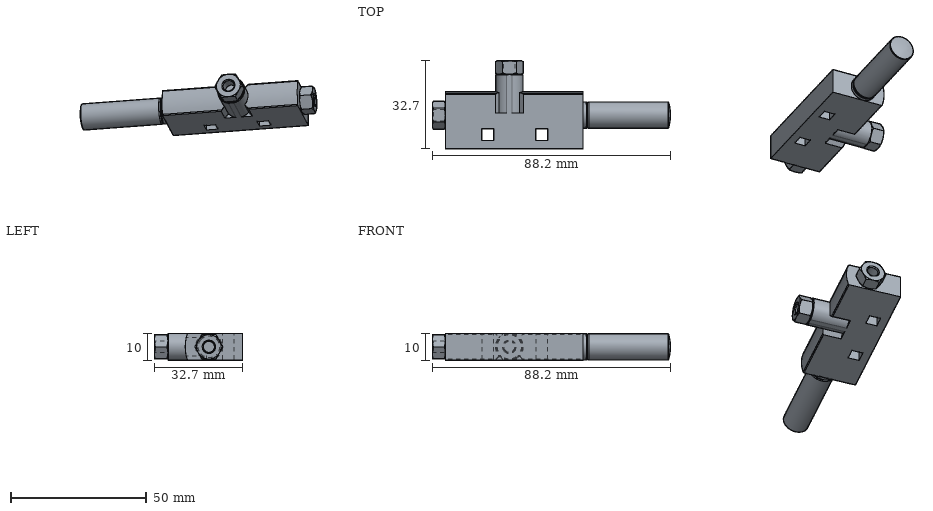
import cadquery as cq
import math

body_length = 51.0
body_height = 10.0
body_depth = 21.25
rear_bulge = 0.7
rear_chamfer_y = 0.35
rear_chamfer_z = 0.4
bore_axis_y = 12.5

window_side = 4.3
window_spacing = 20.0
window_center_x = 25.7
window_center_y = 5.3

port_axis_x = 23.7
port_diameter = 10.2
port_end_y = 27.7
port_end_chamfer = 0.3

relief_start_y = 13.3
relief_half_width = 5.2
relief_wall_angle = 40.0

nut_flats = 9.0
end_nut_length = 4.8
port_nut_length = 5.0
nut_chamfer_angle = 30.0
nut_bore_diameter = 4.13
nut_bore_chamfer = 0.4

silencer_diameter = 9.8
neck_diameter = 8.0
collar_length = 1.2
neck_length = 0.4
sleeve_length = 30.1
sleeve_chamfer_length = 0.5
sleeve_chamfer_depth = 0.2
tip_chamfer_length = 0.25
tip_chamfer_depth = 0.2
dome_height = 0.7


def make_body():
    """Block whose rear face is a shallow cylinder along X, with chamfered edges."""
    half_height = body_height / 2
    bulge_edge_y = body_depth - rear_bulge
    bulge_edge_z = half_height - rear_chamfer_z
    rear_edge_y = bulge_edge_y - rear_chamfer_y
    return (
        cq.Workplane("YZ")
        .moveTo(0, -half_height)
        .lineTo(rear_edge_y, -half_height)
        .lineTo(bulge_edge_y, -bulge_edge_z)
        .threePointArc((body_depth, 0), (bulge_edge_y, bulge_edge_z))
        .lineTo(rear_edge_y, half_height)
        .lineTo(0, half_height)
        .close()
        .extrude(body_length)
    )


def make_windows():
    """Two square holes running through the body along Z."""
    return (
        cq.Workplane("XY")
        .center(window_center_x, window_center_y)
        .rarray(window_spacing, 1, 2, 1)
        .rect(window_side, window_side)
        .extrude(body_height, both=True)
    )


def port_plane(y):
    """Plane across the port axis at the given Y, with its normal along +Y."""
    return cq.Plane(origin=(port_axis_x, y, 0), xDir=(1, 0, 0), normal=(0, 1, 0))


def make_port_reliefs():
    """Upper and lower wedges whose walls run in towards the port tube."""
    half_height = body_height / 2
    apex_z = half_height - relief_half_width / math.tan(math.radians(relief_wall_angle))
    wedge_depth = body_depth - relief_start_y
    reliefs = cq.Workplane(port_plane(relief_start_y))
    for side in (-1, 1):
        reliefs = reliefs.add(
            cq.Workplane(port_plane(relief_start_y))
            .moveTo(0, side * apex_z)
            .lineTo(relief_half_width, side * half_height)
            .lineTo(-relief_half_width, side * half_height)
            .close()
            .extrude(wedge_depth)
        )
    return reliefs.combine()


def make_port_tube():
    """Round tube trimmed by flats level with the upper and lower faces of the body."""
    tube_length = port_end_y - relief_start_y
    tube = (
        cq.Workplane(port_plane(relief_start_y))
        .circle(port_diameter / 2)
        .extrude(tube_length)
        .faces(">Y")
        .chamfer(port_end_chamfer)
    )
    trim = (
        cq.Workplane(port_plane(relief_start_y))
        .rect(port_diameter, body_height)
        .extrude(tube_length)
    )
    return tube.intersect(trim)


def make_nut(plane, length):
    """Nut standing on the plane, with both ends turned down to the flats."""
    flat_radius = nut_flats / 2
    corner_radius = nut_flats / math.sqrt(3)
    chamfer_length = (corner_radius - flat_radius) * math.tan(math.radians(nut_chamfer_angle))
    prism = cq.Workplane(plane).polygon(6, 2 * corner_radius).extrude(length)
    turned = (
        cq.Workplane(plane)
        .circle(corner_radius)
        .extrude(length)
        .edges("%CIRCLE")
        .chamfer(chamfer_length, corner_radius - flat_radius)
    )
    return prism.intersect(turned)


def make_nut_bore(plane, length):
    """Countersunk bore as deep as the nut."""
    mouth_plane = cq.Plane(
        origin=(plane.origin + plane.zDir * length).toTuple(),
        xDir=plane.xDir.toTuple(),
        normal=(plane.zDir * -1).toTuple(),
    )
    bore_radius = nut_bore_diameter / 2
    bore = cq.Workplane(mouth_plane).circle(bore_radius).extrude(length)
    countersink = cq.Solid.makeCone(
        bore_radius + nut_bore_chamfer,
        bore_radius,
        nut_bore_chamfer,
        pnt=mouth_plane.origin,
        dir=mouth_plane.zDir,
    )
    return bore.union(cq.Workplane(countersink))


def make_silencer():
    """Turned collar, narrow neck and long sleeve with a domed end, on the bore axis."""
    outer_radius = silencer_diameter / 2
    neck_radius = neck_diameter / 2
    collar_end = body_length + collar_length
    sleeve_start = collar_end + neck_length
    sleeve_end = sleeve_start + sleeve_length
    dome_edge_r = outer_radius - tip_chamfer_depth
    dome_radius = (dome_edge_r**2 + dome_height**2) / (2 * dome_height)
    dome_center_x = sleeve_end + dome_height - dome_radius
    dome_mid_r = dome_edge_r / 2
    dome_mid_x = dome_center_x + math.sqrt(dome_radius**2 - dome_mid_r**2)
    return (
        cq.Workplane("XY", origin=(0, bore_axis_y, 0))
        .moveTo(body_length, 0)
        .lineTo(body_length, outer_radius)
        .lineTo(collar_end, outer_radius)
        .lineTo(collar_end, neck_radius)
        .lineTo(sleeve_start, neck_radius)
        .lineTo(sleeve_start, outer_radius - sleeve_chamfer_depth)
        .lineTo(sleeve_start + sleeve_chamfer_length, outer_radius)
        .lineTo(sleeve_end - tip_chamfer_length, outer_radius)
        .lineTo(sleeve_end, dome_edge_r)
        .threePointArc((dome_mid_x, dome_mid_r), (sleeve_end + dome_height, 0))
        .close()
        .revolve(360, (0, 0, 0), (1, 0, 0))
    )


end_nut_plane = cq.Plane(origin=(0, bore_axis_y, 0), xDir=(0, 1, 0), normal=(-1, 0, 0))
port_nut_plane = port_plane(port_end_y)

result = make_body().cut(make_windows()).cut(make_port_reliefs())
result = result.union(make_port_tube()).union(make_silencer())
for nut_plane, nut_length in ((end_nut_plane, end_nut_length), (port_nut_plane, port_nut_length)):
    result = result.union(make_nut(nut_plane, nut_length)).cut(make_nut_bore(nut_plane, nut_length))